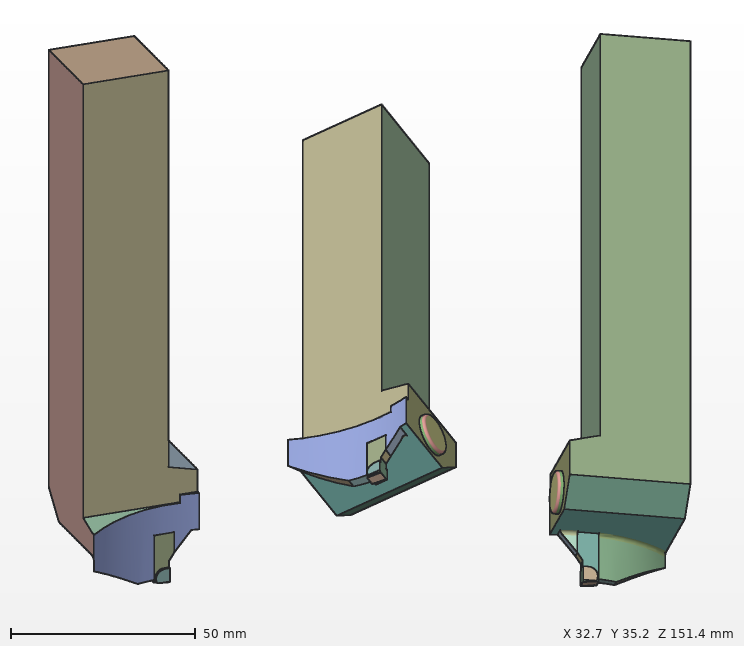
import cadquery as cq

total_height = 151.4
shank_side = 25.0
head_width = 32.7
head_depth = 33.5
head_bottom = 14.5
heel_chamfer = 7.3
side_step_top = 23.0
side_step_tip = 21.0
rear_step_top = 33.9
rear_step_tip = 31.8
lug_top = 25.3
lug_depth = 5.3

blade_near_x = 22.5
blade_thickness = 2.7
arc_center_y = 24.8


def arc_radius(near_x):
    """Radius of the arc through (near_x, arc_center_y), tangent to Y there, and the front corner."""
    rise = head_width - near_x
    return (arc_center_y**2 + rise**2) / (2 * rise)


concave_near_x = blade_near_x + blade_thickness
concave_radius = arc_radius(concave_near_x)
convex_radius = arc_radius(blade_near_x)
blade_tip = 1.4
blade_front_tip = 10.3
blade_flat_start = 15.5
blade_rear = 31.3
root_fillet = 1.0

insert_front = 20.6
insert_rear = 26.5
insert_shoulder = 8.5
rake_face = 25.0
rake_top = 6.2
insert_heel = 0.5
head_overhang = 0.68
cutting_head_height = 4.4
cutting_head_front = 21.3
cutting_head_flat_end = 23.5
cutting_head_curve = 2.5
corner_chamfer = 0.5

screw_diameter = 11.8
screw_x = 13.3
screw_z = 21.8
screw_height = 1.7
screw_rounding = 0.8


def concave_cutter():
    """Cylinder that hollows the +X side of the head and the blade."""
    center_x = concave_near_x + concave_radius
    return cq.Workplane("XY").center(center_x, arc_center_y).circle(concave_radius).extrude(total_height)


def side_profile(points, x_start, width):
    """Extrude a closed (Y, Z) outline along X."""
    return cq.Workplane("YZ", origin=(x_start, 0, 0)).polyline(points).close().extrude(width)


def make_shank_and_head():
    front_outline = [
        (0, total_height),
        (0, head_bottom + heel_chamfer),
        (heel_chamfer, head_bottom),
        (head_width, head_bottom),
        (head_width, side_step_tip),
        (shank_side, side_step_top),
        (shank_side, total_height),
    ]
    body = cq.Workplane("XZ").polyline(front_outline).close().extrude(-head_depth)
    side_outline = [
        (0, head_bottom),
        (head_depth, head_bottom),
        (head_depth, rear_step_tip),
        (shank_side, rear_step_top),
        (shank_side, total_height),
        (0, total_height),
    ]
    body = body.intersect(side_profile(side_outline, 0, head_width))
    lug = cq.Workplane("XY").box(
        head_width - blade_near_x, lug_depth, lug_top - head_bottom, centered=False
    ).translate((blade_near_x, head_depth - lug_depth, head_bottom))
    return body.union(lug).cut(concave_cutter())


def make_blade():
    """Curved wall with a sloping underside, widened by a fillet at its root."""
    outline = [
        (0, head_bottom),
        (0, blade_front_tip),
        (blade_flat_start, blade_tip),
        (insert_front, blade_tip),
        (rake_face, rake_top),
        (insert_rear, insert_shoulder),
        (blade_rear, head_bottom),
    ]
    slab = side_profile(outline, 0, head_width)
    convex_profile = (
        cq.Workplane("XZ", origin=(blade_near_x + convex_radius, arc_center_y, 0))
        .lineTo(convex_radius, 0)
        .lineTo(convex_radius, head_bottom - root_fillet)
        .radiusArc((convex_radius + root_fillet, head_bottom), root_fillet)
        .lineTo(0, head_bottom)
        .close()
    )
    convex_body = convex_profile.revolve(360, (0, 0, 0), (0, 1, 0))
    return slab.intersect(convex_body).cut(concave_cutter())


def make_screw_head():
    head = (
        cq.Workplane("XZ", origin=(screw_x, head_depth, screw_z))
        .circle(screw_diameter / 2)
        .extrude(-screw_height)
    )
    return head.faces(">Y").edges().fillet(screw_rounding)


def make_insert():
    """Straight-sided strip with a wider, relieved cutting head at its tip."""
    strip_outline = [
        (insert_front, head_bottom),
        (insert_front, insert_heel),
        (rake_face, 0),
        (rake_face, rake_top),
        (insert_rear, insert_shoulder),
        (insert_rear, head_bottom),
    ]
    strip = side_profile(strip_outline, blade_near_x, blade_thickness)
    head = (
        cq.Workplane("YZ", origin=(blade_near_x - head_overhang, 0, 0))
        .moveTo(rake_face, 0)
        .lineTo(rake_face, cutting_head_height)
        .lineTo(cutting_head_flat_end, cutting_head_height)
        .radiusArc((cutting_head_front, insert_heel), -cutting_head_curve)
        .close()
        .extrude(blade_thickness + 2 * head_overhang)
    )
    insert = strip.union(head)
    corner_cutter = (
        cq.Workplane("XZ")
        .moveTo(0, 0)
        .lineTo(corner_chamfer, 0)
        .lineTo(0, corner_chamfer)
        .close()
        .extrude(-head_depth)
    )
    left_x = blade_near_x - head_overhang
    right_x = blade_near_x + blade_thickness + head_overhang
    insert = insert.cut(corner_cutter.translate((left_x, 0, 0)))
    return insert.cut(corner_cutter.mirror("YZ").translate((right_x, 0, 0)))


insert = make_insert()
insert_slot = cq.Workplane("XY").box(
    head_width, insert_rear - insert_front, head_bottom, centered=False
).translate((0, insert_front, 0))

holder = make_shank_and_head().union(make_blade().cut(insert_slot)).union(make_screw_head())

result = cq.Compound.makeCompound([holder.val(), insert.val()])